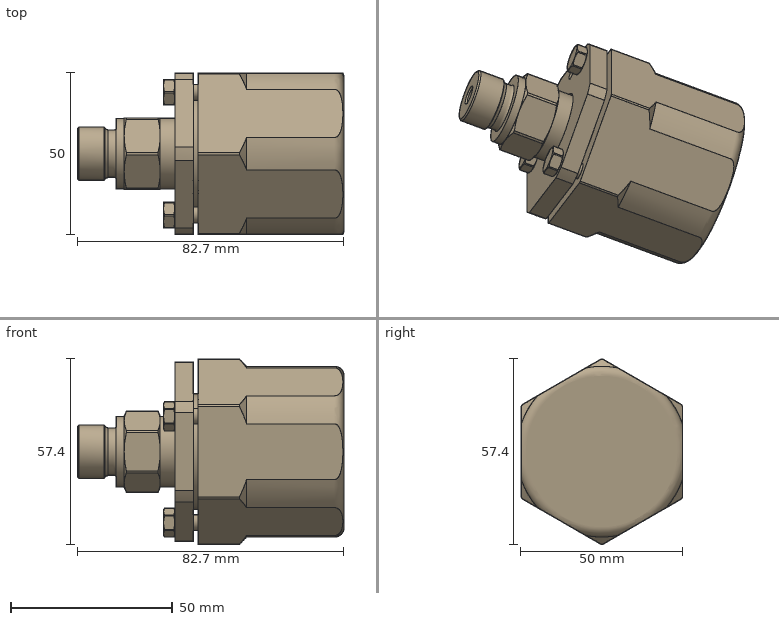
import cadquery as cq
import math

overall_length = 82.7
flange_start = 12.0
nut_start = 14.5
nut_end = 25.6
plate_start = 30.2
plate_end = 35.9
body_start = 37.4

thread_diameter = 16.6
thread_length = 8.5
thread_chamfer = 0.5
thread_runout_length = 0.25
relief_diameter = 14.7
relief_shoulder_diameter = 15.3
relief_start = 9.5
relief_end = 11.25
bore_diameter = 5.0
bore_chamfer = 0.5
bore_depth = 3.0

flange_diameter = 21.9
collar_diameter = 22.0
nut_across_flats = 22.2
nut_corner_diameter = 25.1
nut_face_diameter = nut_across_flats
nut_chamfer_length = 0.7

body_across_flats = 50.0
plate_corner_diameter = 55.6
spacer_diameter = 36.0
plate_opening_diameter = 23.0

screw_count = 3
screw_circle_radius = 22.0
screw_shank_diameter = 5.0
screw_across_flats = 8.0
screw_corner_diameter = 9.0
screw_face_diameter = 7.8
screw_head_start = 26.6
screw_chamfer_length = 0.3

locating_circle_radius = 20.7
locating_angle = math.radians(120)
locating_diameter = 4.0
locating_flat_offset = 0.9
locating_depth = 5.0
drill_point_angle = math.radians(118)

body_corner_diameter = 57.4
turned_diameter = 52.9
turned_start = 52.4
rear_fillet = 3.0


def yz_plane(x):
    """Sketch plane facing +X at station x, with local axes along Y and Z."""
    return cq.Workplane("YZ", origin=(x, 0, 0))


def disc(diameter, start, end):
    return yz_plane(start).circle(diameter / 2).extrude(end - start)


def hexagon(across_flats, start, end):
    """Hexagonal prism along X with corners pointing up and down."""
    corner_diameter = across_flats / math.cos(math.pi / 6)
    prism = yz_plane(start).polygon(6, corner_diameter).extrude(end - start)
    return prism.rotate((0, 0, 0), (1, 0, 0), 90)


def turned(profile):
    """Revolve a closed (x, radius) outline around the X axis."""
    return profile.close().revolve(360, (0, 0, 0), (1, 0, 0))


def chamfered_hexagon(across_flats, corner_diameter, face_diameter, chamfer_length, start, end):
    """Hexagon with turned corners and a conical chamfer at both ends."""
    face_radius = face_diameter / 2
    corner_radius = corner_diameter / 2
    envelope = turned(
        cq.Workplane("XY")
        .moveTo(start, 0)
        .lineTo(start, face_radius)
        .lineTo(start + chamfer_length, corner_radius)
        .lineTo(end - chamfer_length, corner_radius)
        .lineTo(end, face_radius)
        .lineTo(end, 0)
    )
    return hexagon(across_flats, start, end).intersect(envelope)


def spigot():
    thread_radius = thread_diameter / 2
    relief_radius = relief_diameter / 2
    shoulder_radius = relief_shoulder_diameter / 2
    return turned(
        cq.Workplane("XY")
        .moveTo(0, 0)
        .lineTo(0, thread_radius - thread_chamfer)
        .lineTo(thread_chamfer, thread_radius)
        .lineTo(thread_length - thread_runout_length, thread_radius)
        .lineTo(thread_length, thread_radius - thread_chamfer)
        .lineTo(relief_start, relief_radius)
        .lineTo(relief_end, relief_radius)
        .tangentArcPoint((flange_start, shoulder_radius), relative=False)
        .lineTo(flange_start, 0)
    )


def connector():
    nut = chamfered_hexagon(
        nut_across_flats, nut_corner_diameter, nut_face_diameter, nut_chamfer_length, nut_start, nut_end
    )
    flange = disc(flange_diameter, flange_start, nut_start)
    collar = disc(collar_diameter, nut_end, plate_end)
    return spigot().union(flange).union(nut).union(collar)


def cover_plate():
    """Plate whose opening leaves a narrow ring of clearance around the collar."""
    plate = hexagon(body_across_flats, plate_start, plate_end)
    plate = plate.intersect(disc(plate_corner_diameter, plate_start, plate_end))
    plate = plate.cut(disc(plate_opening_diameter, plate_start, plate_end))
    return plate.union(disc(spacer_diameter, plate_end, body_start))


def body():
    corner_radius = body_corner_diameter / 2
    turned_radius = turned_diameter / 2
    cone_start = turned_start - (corner_radius - turned_radius)
    envelope = turned(
        cq.Workplane("XY")
        .moveTo(body_start, 0)
        .lineTo(body_start, corner_radius)
        .lineTo(cone_start, corner_radius)
        .lineTo(turned_start, turned_radius)
        .lineTo(overall_length - rear_fillet, turned_radius)
        .tangentArcPoint((overall_length, turned_radius - rear_fillet), relative=False)
        .lineTo(overall_length, 0)
    )
    return hexagon(body_across_flats, body_start, overall_length).intersect(envelope)


def screw():
    head = chamfered_hexagon(
        screw_across_flats,
        screw_corner_diameter,
        screw_face_diameter,
        screw_chamfer_length,
        screw_head_start,
        plate_start,
    )
    return head.union(disc(screw_shank_diameter, plate_start, body_start))


def bore():
    radius = bore_diameter / 2
    return turned(
        cq.Workplane("XY")
        .moveTo(0, 0)
        .lineTo(0, radius + bore_chamfer)
        .lineTo(bore_chamfer, radius)
        .lineTo(bore_depth, radius)
        .lineTo(bore_depth, 0)
    )


def locating_hole():
    """Round through the plate; in the body a drilled pocket with a flat on its inner side."""
    radius = locating_diameter / 2
    bottom = body_start + locating_depth
    tip = bottom + radius / math.tan(drill_point_angle / 2)
    pocket = turned(
        cq.Workplane("XY")
        .moveTo(body_start, 0)
        .lineTo(body_start, radius)
        .lineTo(bottom, radius)
        .lineTo(tip, 0)
    )
    inner_side = (
        cq.Workplane("XY")
        .box(tip - body_start, locating_diameter, locating_diameter, centered=(False, True, False))
        .translate((body_start, 0, -locating_flat_offset - locating_diameter))
    )
    hole = disc(locating_diameter, plate_start, body_start).union(pocket.cut(inner_side))
    hole = hole.translate((0, 0, locating_circle_radius))
    return hole.rotate((0, 0, 0), (1, 0, 0), math.degrees(locating_angle) - 90)


result = connector().union(cover_plate()).union(body())
for index in range(screw_count):
    lower_screw = screw().translate((0, 0, -screw_circle_radius))
    result = result.union(lower_screw.rotate((0, 0, 0), (1, 0, 0), index * 360 / screw_count))
result = result.cut(bore()).cut(locating_hole())